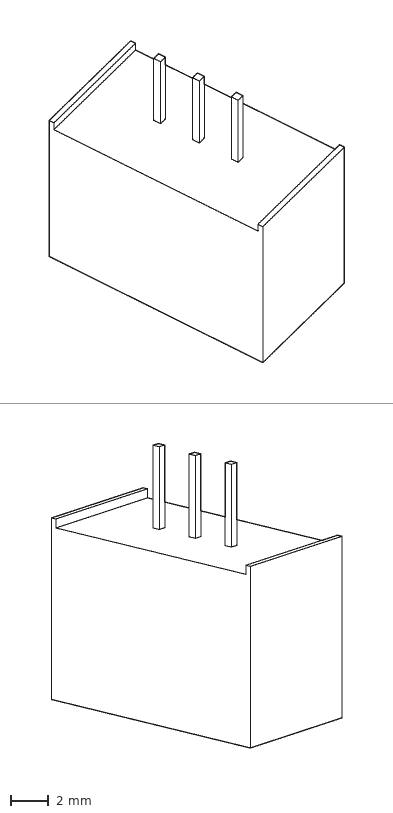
import cadquery as cq

case_length = 14.0
case_width = 7.5
case_height = 10.1
total_height = 14.2

lip_thickness = 0.32
lip_height = 0.5

pin_count = 3
pin_pitch = 2.54
pin_size = 0.45
pin_offset_y = 0.15

pin_face_z = case_height - lip_height


def block(length, width, height, x, y, z):
    """Box centred on x and y, standing on height z."""
    return cq.Workplane("XY").box(length, width, height, centered=(True, True, False)).translate((x, y, z))


def make_case():
    case = block(case_length, case_width, pin_face_z, 0, 0, 0)
    lip_x = (case_length - lip_thickness) / 2
    for side in (-1, 1):
        case = case.union(block(lip_thickness, case_width, lip_height, side * lip_x, 0, pin_face_z))
    return case


def add_pins(case):
    pin_length = total_height - pin_face_z
    for index in range(pin_count):
        pin_x = (index - (pin_count - 1) / 2) * pin_pitch
        case = case.union(block(pin_size, pin_size, pin_length, pin_x, pin_offset_y, pin_face_z))
    return case


result = add_pins(make_case())